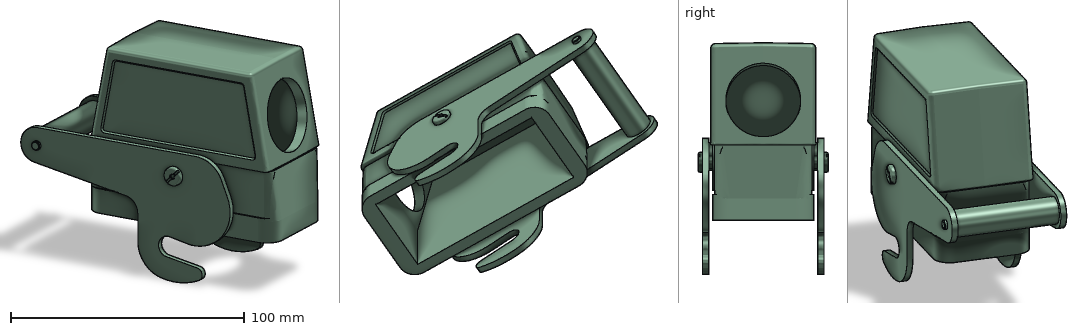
import cadquery as cq
import math

BASE_LENGTH = 93.3
BASE_WIDTH = 43.3
BASE_HEIGHT = 9.3
BASE_CORNER = 7.5
SKIRT_TOP_CORNER = 4.2
HOOD_BOTTOM = 32.2
HOOD_TOP = 76.1
HOOD_WIDTH = 45.0
HOOD_BOTTOM_LENGTH = 89.6
HOOD_TOP_LENGTH = 72.8
HOOD_EDGE = 2.2
RIDGE = 0.4
LIP_EDGE = 0.6
WALL = 5.4
CAVITY_WIDTH = 33.9

FLANK_BOTTOM = 11.0
FLANK_WIDTH = 41.6
FLANK_EDGE = 3.4
POSITION_TOLERANCE = 0.01
BOSS_DIAMETER = 24.0

ENTRY_DIAMETER = 32.0
ENTRY_HEIGHT = 51.5
LABEL_BOTTOM = 37.0
LABEL_TOP = 70.8
LABEL_BOTTOM_LENGTH = 77.5
LABEL_TOP_LENGTH = 64.8
LABEL_CORNER = 1.8
LABEL_DEPTH = 0.7
LABEL_WALL_ANGLE = 45

PLATE_GAP = 46.6
PLATE_THICKNESS = 2.7
PIVOT_HEIGHT = 24.8
PIVOT_DIAMETER = 5.4
ROLLER_DIAMETER = 12.0
RIVET_DIAMETER = 4.0
RIVET_HEIGHT = 1.3
RIVET_CHAMFER = 0.4
SCREW_DIAMETER = 8.5
OVERALL_WIDTH = 55.8
SCREW_EDGE = 0.9
SCREW_SLOT_WIDTH = 1.0
SCREW_SLOT_DEPTH = 0.7
SCREW_SLOT_ANGLE = 45
SCREW_CENTRE_DIAMETER = 2.2
SCREW_CENTRE_DEPTH = 1.2

HANDLE_CENTRE = (-68.1, 27.2)
HANDLE_RADIUS = 8.0
SHOULDER_RADIUS = 13.7
SHOULDER_CENTRE = (10.7, HANDLE_CENTRE[1] + HANDLE_RADIUS - SHOULDER_RADIUS)
CAM_CENTRE = (10.0, 12.6)
CAM_RADIUS = 17.8
HOOK_CENTRE = (-3.1, -7.7)
SLOT_RADIUS = 4.7
HOOK_RADIUS = 15.0
KEEL_CENTRE = (0.2, 5.2)
TIP_RADIUS = 3.0
TIP_ANGLE = -65
NECK_RADIUS = 7.1
NECK_HEIGHT = 4.8

PIVOT = (0, PIVOT_HEIGHT)
PLATE_INNER = PLATE_GAP / 2
PLATE_OUTER = PLATE_INNER + PLATE_THICKNESS
SCREW_OUTER = OVERALL_WIDTH / 2
HOOD_SLOPE = (HOOD_BOTTOM_LENGTH - HOOD_TOP_LENGTH) / 2 / (HOOD_TOP - HOOD_BOTTOM)


def point_at(centre, radius, angle):
    """Point on a circle at an angle in radians."""
    return centre[0] + radius * math.cos(angle), centre[1] + radius * math.sin(angle)


def angle_to(start, end):
    return math.atan2(end[1] - start[1], end[0] - start[0])


def tangent_line(centre_1, radius_1, centre_2, radius_2):
    """Ends of the line tangent to two circles; a circle left of the travel has a negative radius."""
    lean = math.acos((radius_1 - radius_2) / math.dist(centre_1, centre_2))
    normal = angle_to(centre_1, centre_2) + lean
    return point_at(centre_1, radius_1, normal), point_at(centre_2, radius_2, normal)


def add_arc(outline, centre, start, end, clockwise=True):
    """Extend an outline from start to end along the circle around centre."""
    first = angle_to(centre, start)
    last = angle_to(centre, end)
    if clockwise:
        middle = first - ((first - last) % math.tau) / 2
    else:
        middle = first + ((last - first) % math.tau) / 2
    return outline.threePointArc(point_at(centre, math.dist(centre, start), middle), end)


def plate_outline():
    """Clockwise outline of a lever plate; the lines between its circles are tangent."""
    keel_radius = HOOK_RADIUS + math.dist(KEEL_CENTRE, HOOK_CENTRE)
    tip_direction = math.radians(TIP_ANGLE)
    tip_centre = point_at(KEEL_CENTRE, keel_radius - TIP_RADIUS, tip_direction)
    keel_start = point_at(KEEL_CENTRE, keel_radius, tip_direction)
    keel_end = point_at(KEEL_CENTRE, keel_radius, angle_to(KEEL_CENTRE, HOOK_CENTRE))
    back_x = HOOK_CENTRE[0] - HOOK_RADIUS
    neck_centre = (back_x - NECK_RADIUS, NECK_HEIGHT)

    handle_top, shoulder_start = tangent_line(HANDLE_CENTRE, HANDLE_RADIUS, SHOULDER_CENTRE, SHOULDER_RADIUS)
    shoulder_end, cam_start = tangent_line(SHOULDER_CENTRE, SHOULDER_RADIUS, CAM_CENTRE, CAM_RADIUS)
    cam_end, slot_start = tangent_line(CAM_CENTRE, CAM_RADIUS, HOOK_CENTRE, -SLOT_RADIUS)
    slot_end, tip_start = tangent_line(HOOK_CENTRE, -SLOT_RADIUS, tip_centre, TIP_RADIUS)
    neck_end, handle_bottom = tangent_line(neck_centre, -NECK_RADIUS, HANDLE_CENTRE, HANDLE_RADIUS)

    outline = cq.Workplane("XZ").moveTo(*handle_top).lineTo(*shoulder_start)
    outline = add_arc(outline, SHOULDER_CENTRE, shoulder_start, shoulder_end).lineTo(*cam_start)
    outline = add_arc(outline, CAM_CENTRE, cam_start, cam_end).lineTo(*slot_start)
    outline = add_arc(outline, HOOK_CENTRE, slot_start, slot_end, clockwise=False).lineTo(*tip_start)
    outline = add_arc(outline, tip_centre, tip_start, keel_start)
    outline = add_arc(outline, KEEL_CENTRE, keel_start, keel_end)
    outline = add_arc(outline, HOOK_CENTRE, keel_end, (back_x, HOOK_CENTRE[1])).lineTo(back_x, NECK_HEIGHT)
    outline = add_arc(outline, neck_centre, (back_x, NECK_HEIGHT), neck_end, clockwise=False)
    outline = outline.lineTo(*handle_bottom)
    return add_arc(outline, HANDLE_CENTRE, handle_bottom, handle_top).close()


def both_sides(front):
    """A feature of the -Y side together with its mirror copy on the +Y side."""
    return front.union(front.mirror("XZ"))


def front_rod(centre, diameter, inner_y, outer_y):
    """Round rod along -Y between two distances from the middle plane."""
    rod = cq.Workplane("XZ", origin=(0, -inner_y, 0)).center(*centre)
    return rod.circle(diameter / 2).extrude(outer_y - inner_y)


def trapezoid(bottom_z, bottom_length, top_z, top_length):
    """Closed outline of a symmetric trapezoid in the XZ plane."""
    lower_left = (-bottom_length / 2, bottom_z)
    lower_right = (bottom_length / 2, bottom_z)
    upper_right = (top_length / 2, top_z)
    upper_left = (-top_length / 2, top_z)
    return cq.Sketch().polygon([lower_left, lower_right, upper_right, upper_left, lower_left])


def skirt_body():
    """Straight base, then a flare whose corner radius shrinks towards the hood."""
    lower = cq.Sketch().rect(BASE_LENGTH, BASE_WIDTH).vertices().fillet(BASE_CORNER)
    upper = cq.Sketch().rect(HOOD_BOTTOM_LENGTH, BASE_WIDTH).vertices().fillet(SKIRT_TOP_CORNER)
    base = cq.Workplane("XY").placeSketch(lower).extrude(BASE_HEIGHT)
    flare_height = HOOD_BOTTOM - BASE_HEIGHT
    flare = (
        cq.Workplane("XY", origin=(0, 0, BASE_HEIGHT))
        .placeSketch(lower, upper.moved(cq.Location(cq.Vector(0, 0, flare_height))))
        .loft()
    )
    return base.union(flare)


def flank_recess():
    """Material removed beside the skirt so that its flank is flat with rounded ends."""
    height = HOOD_BOTTOM - FLANK_BOTTOM
    middle_z = FLANK_BOTTOM + height / 2
    surround = cq.Workplane("XY").box(BASE_LENGTH, HOOD_WIDTH, height)
    kept = cq.Workplane("XY").box(BASE_LENGTH, FLANK_WIDTH, height)
    return surround.cut(kept).translate((0, 0, middle_z))


def flank_end_edges(skirt):
    """Upright edges at the four ends of the flat flanks."""

    def on_flank(edge):
        return math.isclose(abs(edge.Center().y), FLANK_WIDTH / 2, abs_tol=POSITION_TOLERANCE)

    return skirt.edges("not |X").filter(on_flank)


def hood_section(length):
    """Hexagon whose end sides rise to a ridge in the middle."""
    side = length / 2 - RIDGE
    half_width = HOOD_WIDTH / 2
    return [
        (length / 2, 0),
        (side, half_width),
        (-side, half_width),
        (-length / 2, 0),
        (-side, -half_width),
        (side, -half_width),
    ]


def top_end_edges(body):
    """Edges where the two halves of the top meet the tapered ends."""
    return body.edges("not |X").filter(lambda edge: edge.Center().z > HOOD_TOP - 2 * RIDGE)


def hood_body():
    """Tapered hood with ridged ends, a ridged top and rounded edges."""
    height = HOOD_TOP - HOOD_BOTTOM
    body = (
        cq.Workplane("XY", origin=(0, 0, HOOD_BOTTOM))
        .polyline(hood_section(HOOD_BOTTOM_LENGTH)).close()
        .workplane(offset=height)
        .polyline(hood_section(HOOD_TOP_LENGTH)).close()
        .loft(ruled=True)
    )
    half_width = HOOD_WIDTH / 2
    side_profile = [
        (-half_width, HOOD_BOTTOM),
        (half_width, HOOD_BOTTOM),
        (half_width, HOOD_TOP - RIDGE),
        (0, HOOD_TOP),
        (-half_width, HOOD_TOP - RIDGE),
    ]
    envelope = cq.Workplane("YZ").polyline(side_profile).close().extrude(BASE_LENGTH / 2, both=True)
    body = body.intersect(envelope)
    side_edges = body.faces(">Y or <Y").edges("not <Z")
    body = side_edges.add(top_end_edges(body)).fillet(HOOD_EDGE)
    return body.faces("<Z").edges("|X").fillet(LIP_EDGE)


def cavity():
    """Hollow interior, open at the bottom and tapered like the hood."""
    bottom_length = HOOD_BOTTOM_LENGTH - 2 * WALL
    top_z = HOOD_TOP - WALL
    top_length = bottom_length - 2 * HOOD_SLOPE * (top_z - HOOD_BOTTOM)
    lower = cq.Workplane("XY").box(bottom_length, CAVITY_WIDTH, HOOD_BOTTOM, centered=(True, True, False))
    profile = trapezoid(HOOD_BOTTOM, bottom_length, top_z, top_length)
    upper = cq.Workplane("XZ").placeSketch(profile).extrude(CAVITY_WIDTH / 2, both=True)
    return lower.union(upper)


def cable_entry():
    """Round opening square to the sloping +X end of the hood."""
    end_x = HOOD_BOTTOM_LENGTH / 2 - HOOD_SLOPE * (ENTRY_HEIGHT - HOOD_BOTTOM)
    face = cq.Plane(origin=(end_x, 0, ENTRY_HEIGHT), xDir=(0, 1, 0), normal=(1, 0, HOOD_SLOPE))
    return cq.Workplane(face).circle(ENTRY_DIAMETER / 2).extrude(2 * WALL, both=True)


def label_field():
    """Shallow trapezoid with sloping walls on the -Y side of the hood."""
    outline = trapezoid(LABEL_BOTTOM, LABEL_BOTTOM_LENGTH, LABEL_TOP, LABEL_TOP_LENGTH)
    outline = outline.vertices().fillet(LABEL_CORNER)
    hood_side = cq.Workplane("XZ", origin=(0, -HOOD_WIDTH / 2, 0))
    return hood_side.placeSketch(outline).extrude(-LABEL_DEPTH, taper=LABEL_WALL_ANGLE)


def make_housing():
    skirt = skirt_body().cut(flank_recess())
    skirt = flank_end_edges(skirt).fillet(FLANK_EDGE)
    bosses = both_sides(front_rod(PIVOT, BOSS_DIAMETER, CAVITY_WIDTH / 2, BASE_WIDTH / 2))
    shell = skirt.union(hood_body()).union(bosses)
    return shell.cut(cavity()).cut(cable_entry()).cut(both_sides(label_field()))


def screw_head():
    """Rounded pivot head on the -Y side with a diagonal slot and a centre hole."""
    head = front_rod(PIVOT, SCREW_DIAMETER, PLATE_OUTER, SCREW_OUTER).faces("<Y").edges().fillet(SCREW_EDGE)
    slot = (
        cq.Workplane("XZ", origin=(0, -SCREW_OUTER, PIVOT_HEIGHT))
        .transformed(rotate=(0, 0, SCREW_SLOT_ANGLE))
        .rect(SCREW_DIAMETER, SCREW_SLOT_WIDTH)
        .extrude(-SCREW_SLOT_DEPTH)
    )
    hole = front_rod(PIVOT, SCREW_CENTRE_DIAMETER, SCREW_OUTER - SCREW_CENTRE_DEPTH, SCREW_OUTER)
    return head.cut(slot).cut(hole)


def make_lever():
    plate = plate_outline().extrude(PLATE_THICKNESS).translate((0, -PLATE_INNER, 0))
    rivet = front_rod(HANDLE_CENTRE, RIVET_DIAMETER, PLATE_OUTER, PLATE_OUTER + RIVET_HEIGHT)
    rivet = rivet.faces("<Y").chamfer(RIVET_CHAMFER)
    pivot = front_rod(PIVOT, PIVOT_DIAMETER, BASE_WIDTH / 2, PLATE_INNER)
    side = plate.union(rivet).union(pivot).union(screw_head())
    roller = front_rod(HANDLE_CENTRE, ROLLER_DIAMETER, -PLATE_INNER, PLATE_INNER)
    return both_sides(side).union(roller)


housing = make_housing()
lever = make_lever()
result = cq.Compound.makeCompound([housing.solids().val(), lever.solids().val()])